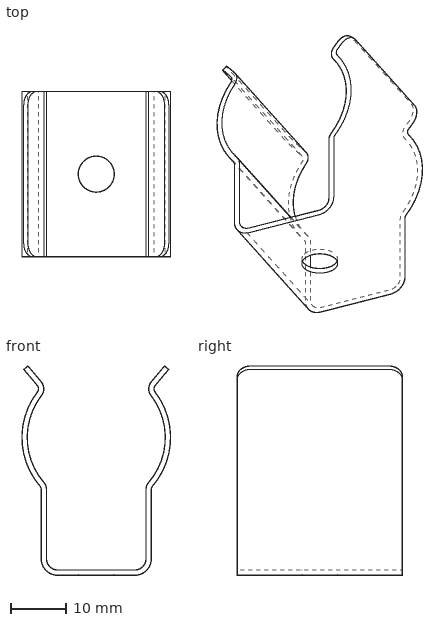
import cadquery as cq
import math


sheet = 1.0
length = 30.0
height = 38.0
channel_width = 20.0
grip_radius = 13.5
grip_height = 25.0
neck_opening = 19.0
lip_angle = 50.0
lip_corner_radius = 2.5
hole_diameter = 6.5

base_bend_inner = 2.0
waist_bend_inner = 1.0
neck_bend_inner = 1.0

wall_x = channel_width / 2
base_bend_outer = base_bend_inner + sheet
base_center = (wall_x - base_bend_outer, base_bend_outer)
grip_center = (0.0, grip_height)

waist_x = wall_x + waist_bend_inner
waist_angle = -math.degrees(math.acos(waist_x / (grip_radius + waist_bend_inner)))
waist_reach = (grip_radius + waist_bend_inner) * math.sin(math.radians(waist_angle))
waist_center = (waist_x, grip_height + waist_reach)

neck_x = neck_opening / 2 + neck_bend_inner + sheet
neck_angle = math.degrees(math.acos(neck_x / (grip_radius + neck_bend_inner)))
neck_reach = (grip_radius + neck_bend_inner) * math.sin(math.radians(neck_angle))
neck_center = (neck_x, grip_height + neck_reach)

lip_normal_angle = lip_angle + 90.0


def polar(center, radius, angle):
    """Point at an angle in degrees around a centre."""
    a = math.radians(angle)
    return (center[0] + radius * math.cos(a), center[1] + radius * math.sin(a))


def arc(center, radius, start, end):
    """Middle and end points of an arc between two angles."""
    return polar(center, radius, (start + end) / 2), polar(center, radius, end)


lip_start_z = polar(neck_center, neck_bend_inner + sheet, lip_normal_angle)[1]
lip_length = (height - lip_start_z) / math.sin(math.radians(lip_angle))


def lip_tip(depth):
    """Lip end at a depth into the sheet from its outer face."""
    root = polar(neck_center, neck_bend_inner + depth, lip_normal_angle)
    return polar(root, lip_length, lip_angle)


def half_profile():
    """Closed XZ section of the +X half, from the mid plane to the lip tip and back."""
    inner_grip = grip_radius - sheet
    inner_waist = waist_bend_inner + sheet
    inner_neck = neck_bend_inner + sheet
    waist_end = 180.0 + waist_angle
    neck_start = 180.0 + neck_angle
    return (
        cq.Workplane("XZ")
        .moveTo(0, 0)
        .lineTo(base_center[0], 0)
        .threePointArc(*arc(base_center, base_bend_outer, -90, 0))
        .lineTo(*polar(waist_center, waist_bend_inner, 180))
        .threePointArc(*arc(waist_center, waist_bend_inner, 180, waist_end))
        .threePointArc(*arc(grip_center, grip_radius, waist_angle, neck_angle))
        .threePointArc(*arc(neck_center, neck_bend_inner, neck_start, lip_normal_angle))
        .lineTo(*lip_tip(0))
        .lineTo(*lip_tip(sheet))
        .lineTo(*polar(neck_center, inner_neck, lip_normal_angle))
        .threePointArc(*arc(neck_center, inner_neck, lip_normal_angle, neck_start))
        .threePointArc(*arc(grip_center, inner_grip, neck_angle, waist_angle))
        .threePointArc(*arc(waist_center, inner_waist, waist_end, 180))
        .lineTo(*polar(base_center, base_bend_inner, 0))
        .threePointArc(*arc(base_center, base_bend_inner, 0, -90))
        .lineTo(0, sheet)
        .close()
    )


def half_clip():
    """The +X half, with the two corners of its lip rounded."""
    half = half_profile().extrude(length / 2, both=True)
    lip_corners = half.faces(">Z").edges("not |Y")
    return lip_corners.fillet(lip_corner_radius)


def mounting_hole():
    """Cutter for the hole through the middle of the base."""
    return cq.Workplane("XY").circle(hole_diameter / 2).extrude(sheet)


half = half_clip()
clip = half.union(half.mirror("YZ")).clean()
result = clip.cut(mounting_hole())